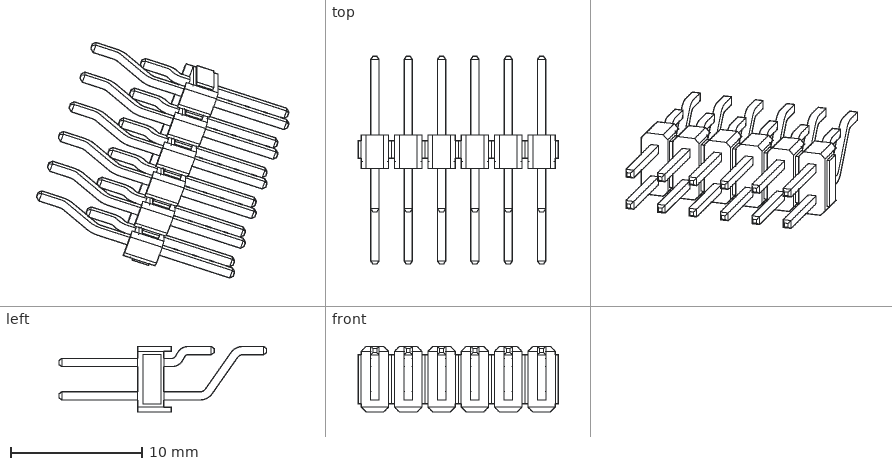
import cadquery as cq
import math

unit_count = 6
pitch = 2.54
row_spacing = 2.54

block_width = 2.1
block_height = 5.0
block_depth = 2.0
lip_depth = 2.57
lip_height = 0.375
corner_chamfer = lip_height

web_height = 3.75
web_depth = 1.35
web_back_gap = 0.43

pin_size = 0.64
tip_length = 0.24
tip_end_size = 0.3
contact_length = 6.0
tail_height = block_height - pin_size / 2
lower_pin_height = (block_height - row_spacing) / 2
upper_pin_height = lower_pin_height + row_spacing

upper_reach = 5.85
upper_tail_length = 1.99
upper_bend_angle = 60.0
upper_bend_radius = 0.62
lower_reach = 9.84
lower_tail_length = 1.82
lower_bend_angle = 55.0
lower_bend_radius = 0.8


def make_block():
    """Chamfered block whose top and bottom lips overhang the front face."""
    block = (
        cq.Workplane("XY")
        .box(block_width, lip_depth, block_height, centered=(True, False, False))
        .translate((0, -lip_depth, 0))
        .edges("|Y")
        .chamfer(corner_chamfer)
    )
    front_recess = (
        cq.Workplane("XY")
        .box(
            block_width,
            lip_depth - block_depth,
            block_height - 2 * lip_height,
            centered=(True, False, False),
        )
        .translate((0, -lip_depth, lip_height))
    )
    web = (
        cq.Workplane("XY")
        .box(pitch, web_depth, web_height, centered=(True, False, True))
        .translate((0, -web_back_gap - web_depth, block_height / 2))
    )
    return block.cut(front_recess).union(web)


def make_tip(y, z, direction):
    """Tapered pin end that starts at y and points along +Y or -Y."""
    plane = cq.Plane(origin=(0, y, z), xDir=(1, 0, 0), normal=(0, direction, 0))
    return (
        cq.Workplane(plane)
        .rect(pin_size, pin_size)
        .workplane(offset=tip_length)
        .rect(tip_end_size, tip_end_size)
        .loft(ruled=True)
    )


def make_pin(height, reach, tail_length, bend_angle, bend_radius):
    """Pin running through the block, then bent up to the tail height and level again."""
    angle = math.radians(bend_angle)
    bend_run = bend_radius * math.sin(angle)
    bend_rise = bend_radius * (1 - math.cos(angle))
    slope_run = (tail_height - height - 2 * bend_rise) / math.tan(angle)

    contact_shoulder = contact_length - tip_length
    tail_shoulder = -reach + tip_length
    tail_start = -reach + tail_length
    bend_start = tail_start + 2 * bend_run + slope_run

    first_centre = (bend_start, height + bend_radius)
    second_centre = (tail_start, tail_height - bend_radius)
    half_size = pin_size / 2
    inner_radius = bend_radius - half_size
    outer_radius = bend_radius + half_size

    def first_bend(radius, turn):
        """Point on the first bend, where the pin slopes up at the given angle."""
        return (
            first_centre[0] - radius * math.sin(turn),
            first_centre[1] - radius * math.cos(turn),
        )

    def second_bend(radius, turn):
        """Point on the second bend, where the pin slopes up at the given angle."""
        return (
            second_centre[0] + radius * math.sin(turn),
            second_centre[1] + radius * math.cos(turn),
        )

    shaft = (
        cq.Workplane("YZ", origin=(-half_size, 0, 0))
        .moveTo(contact_shoulder, height + half_size)
        .lineTo(*first_bend(inner_radius, 0))
        .threePointArc(first_bend(inner_radius, angle / 2), first_bend(inner_radius, angle))
        .lineTo(*second_bend(outer_radius, angle))
        .threePointArc(second_bend(outer_radius, angle / 2), second_bend(outer_radius, 0))
        .lineTo(tail_shoulder, tail_height + half_size)
        .lineTo(tail_shoulder, tail_height - half_size)
        .lineTo(*second_bend(inner_radius, 0))
        .threePointArc(second_bend(inner_radius, angle / 2), second_bend(inner_radius, angle))
        .lineTo(*first_bend(outer_radius, angle))
        .threePointArc(first_bend(outer_radius, angle / 2), first_bend(outer_radius, 0))
        .lineTo(contact_shoulder, height - half_size)
        .close()
        .extrude(pin_size)
    )
    contact_tip = make_tip(contact_shoulder, height, 1)
    tail_tip = make_tip(tail_shoulder, tail_height, -1)
    return shaft.union(contact_tip).union(tail_tip)


def make_unit():
    """One header unit: block, web and both pins as a single solid."""
    upper_pin = make_pin(
        upper_pin_height, upper_reach, upper_tail_length, upper_bend_angle, upper_bend_radius
    )
    lower_pin = make_pin(
        lower_pin_height, lower_reach, lower_tail_length, lower_bend_angle, lower_bend_radius
    )
    return make_block().union(upper_pin).union(lower_pin)


unit = make_unit().solids().val()
header_units = []
for index in range(unit_count):
    x = (index - (unit_count - 1) / 2) * pitch
    header_units.append(unit.moved(cq.Location(cq.Vector(x, 0, 0))))

result = cq.Compound.makeCompound(header_units)